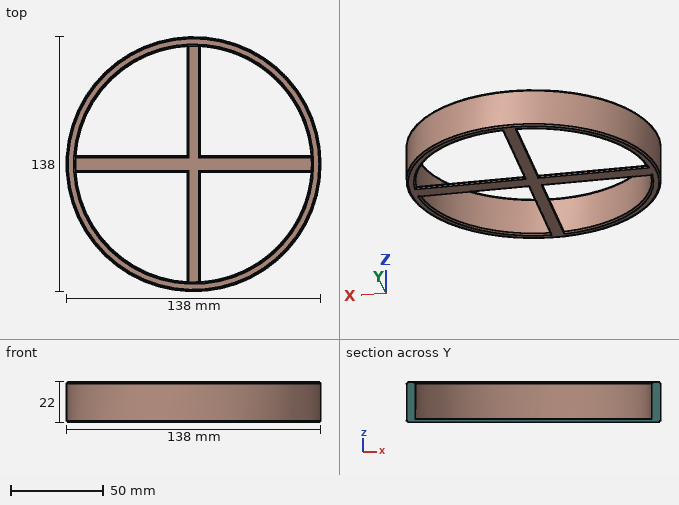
import cadquery as cq

outer_diameter = 138.0
bore_diameter = 128.0
ring_height = 22.0
ring_chamfer = 1.0

x_spoke_width = 8.8
y_spoke_width = 7.0
spoke_thickness = 2.0
spoke_chamfer = 0.8

spoke_length = (outer_diameter + bore_diameter) / 2


def make_ring():
    """Plain ring with all four circular edges chamfered."""
    blank = cq.Workplane("XY").circle(outer_diameter / 2).circle(bore_diameter / 2).extrude(ring_height)
    return blank.edges("%CIRCLE").chamfer(ring_chamfer)


def make_cross():
    """Two perpendicular bars with their top edges chamfered."""
    x_spoke = cq.Workplane("XY").rect(spoke_length, x_spoke_width).extrude(spoke_thickness)
    y_spoke = cq.Workplane("XY").rect(y_spoke_width, spoke_length).extrude(spoke_thickness)
    return x_spoke.union(y_spoke).faces(">Z").edges().chamfer(spoke_chamfer)


result = make_ring().union(make_cross())